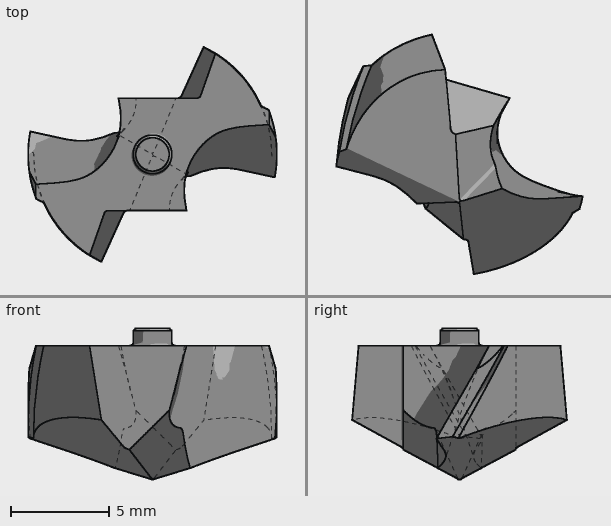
import cadquery as cq
import math

margin_radius = 6.35
relieved_radius = 6.07
body_depth = 6.85
twist_rate = 5.197
twist_depth = body_depth + 0.25
big = 38.1

margin_end_angle = 21.0
margin_step_angle = 24.0

flute_points = [(4.51, 1.41), (3.37, 1.1), (2.41, 0.34), (1.84, -0.61), (1.63, -1.66), (1.74, -2.87)]
flute_tip_angle = 14.0
flute_rim_angle = -65.0

slot_half_distance = 2.87
slot_root_x = 2.41
slot_wall_run = 0.35
slot_wall_lean = 0.19
slot_corner_radius = 0.19

bevel_x = 5.94
bevel_slope = 0.29

edge_rise = 0.35
flank_rise_y = 0.39
land_rise_y = 0.074
notch_rise_x = 0.99
notch_rise_y = -0.94
notch_edge = cq.Vector(10.7, -6.2, 3.2)
notch_valley_x = 12.8
notch_valley_y = -10.0
notch_radius = 0.25

post_radius = 0.99
post_height = 0.89
post_chamfer = 0.14
post_root_radius = 0.15

apex = cq.Vector(0, 0, -body_depth)


def polar(radius, angle):
    return (radius * math.cos(math.radians(angle)), radius * math.sin(math.radians(angle)))


def opposite(point):
    return (-point[0], -point[1])


def half_space(point, normal):
    """Large block covering the side of a plane that its normal points to."""
    plane = cq.Plane(origin=point, normal=normal)
    return cq.Workplane(plane).rect(big, big).extrude(big)


def below(rise_x, rise_y):
    """Everything under a sloped plane through the apex."""
    return half_space(apex, cq.Vector(rise_x, rise_y, -1))


def cut_both(body, cutter):
    """Cut a feature and its twin half a turn around the axis."""
    return body.cut(cutter).cut(cutter.rotate((0, 0, 0), (0, 0, 1), 180))


def twisted_body():
    flute_tip = polar(margin_radius, flute_tip_angle)
    flute_rim = polar(relieved_radius, flute_rim_angle)
    margin_middle = polar(margin_radius, (flute_tip_angle + margin_end_angle) / 2)
    margin_end = polar(margin_radius, margin_end_angle)
    step_end = polar(relieved_radius, margin_step_angle)
    next_rim_angle = flute_rim_angle + 180
    back_middle = polar(relieved_radius, (margin_step_angle + next_rim_angle) / 2)

    outline = cq.Workplane("XY").moveTo(*flute_rim)
    for side in (lambda point: point, opposite):
        outline = (
            outline.spline([side(p) for p in reversed(flute_points)] + [side(flute_tip)], includeCurrent=True)
            .threePointArc(side(margin_middle), side(margin_end))
            .lineTo(*side(step_end))
            .threePointArc(side(back_middle), side(opposite(flute_rim)))
        )
    twist = twist_rate * twist_depth
    body = outline.close().twistExtrude(twist_depth, twist)
    return body.rotate((0, 0, 0), (0, 0, 1), -twist).translate((0, 0, -twist_depth))


def drive_slot():
    root = cq.Vector(slot_root_x, slot_half_distance, 0)
    past_face = half_space(root, (0, 1, 0))
    past_wall = half_space(root, cq.Vector(-1, slot_wall_run, slot_wall_lean))
    corner = cq.Vector(slot_wall_lean, 0, 1)
    slot = past_face.intersect(past_wall)
    return slot.edges(cq.selectors.ParallelDirSelector(corner)).fillet(slot_corner_radius)


def point_notch():
    valley_z = notch_rise_x * notch_valley_x + notch_rise_y * notch_valley_y
    valley = cq.Vector(notch_valley_x, notch_valley_y, valley_z)
    floor = below(notch_rise_x, notch_rise_y)
    wall = half_space(apex, notch_edge.cross(valley))
    notch = floor.intersect(wall)
    return notch.edges(cq.selectors.ParallelDirSelector(valley)).fillet(notch_radius)


def locating_post():
    post = (
        cq.Workplane("XZ")
        .lineTo(post_radius + post_root_radius, 0)
        .radiusArc((post_radius, post_root_radius), post_root_radius)
        .lineTo(post_radius, post_height - post_chamfer)
        .lineTo(post_radius - post_chamfer, post_height)
        .lineTo(0, post_height)
        .close()
    )
    return post.revolve(360, (0, 0, 0), (0, 1, 0))


body = twisted_body()
body = cut_both(body, drive_slot())
body = cut_both(body, half_space((bevel_x, 0, 0), cq.Vector(1, 0, bevel_slope)))
body = cut_both(body, below(edge_rise, flank_rise_y))
body = cut_both(body, below(edge_rise, land_rise_y))
body = cut_both(body, point_notch())
result = body.union(locating_post())